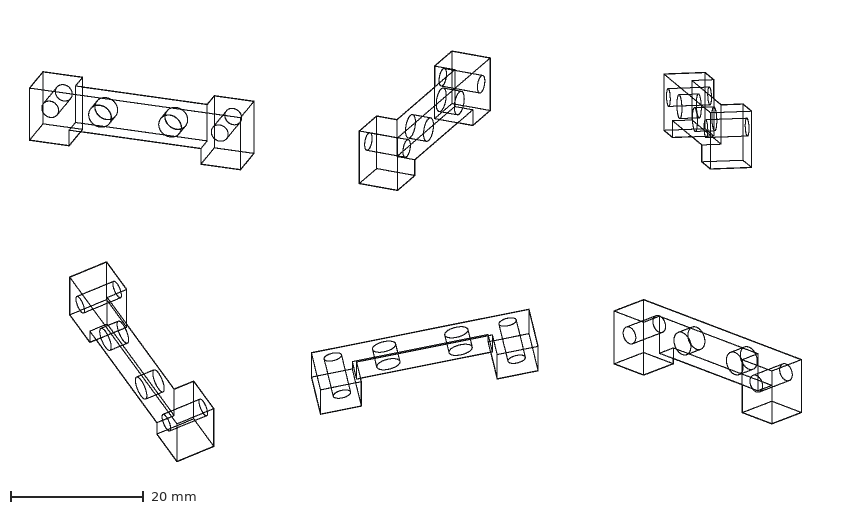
import cadquery as cq

length = 33.53
depth = 6.35
height = 8.62

block_length = 6.3
bridge_thickness = 3.0
bridge_height = 6.05
bridge_length = length - 2 * block_length

outer_hole_diameter = 2.68
outer_hole_spacing = 26.92
inner_hole_diameter = 3.6
inner_hole_spacing = 11.13
hole_z = height - bridge_height / 2


def corner_box(size_x, size_y, size_z, x, y, z):
    """Box whose lowest corner sits at (x, y, z)."""
    return cq.Workplane("XY").box(size_x, size_y, size_z, centered=False).translate((x, y, z))


def hole_pair(diameter, spacing):
    """Two cylinders along Y, long enough to pass through the whole depth."""
    centres = [(-spacing / 2, hole_z), (spacing / 2, hole_z)]
    return cq.Workplane("XZ").pushPoints(centres).circle(diameter / 2).extrude(-depth)


body = corner_box(length, depth, height, -length / 2, 0, 0)

back_recess = corner_box(
    bridge_length, depth - bridge_thickness, height, -bridge_length / 2, bridge_thickness, 0
)

foot_gap = corner_box(bridge_length, depth, height - bridge_height, -bridge_length / 2, 0, 0)

result = (
    body.cut(back_recess)
    .cut(foot_gap)
    .cut(hole_pair(outer_hole_diameter, outer_hole_spacing))
    .cut(hole_pair(inner_hole_diameter, inner_hole_spacing))
)